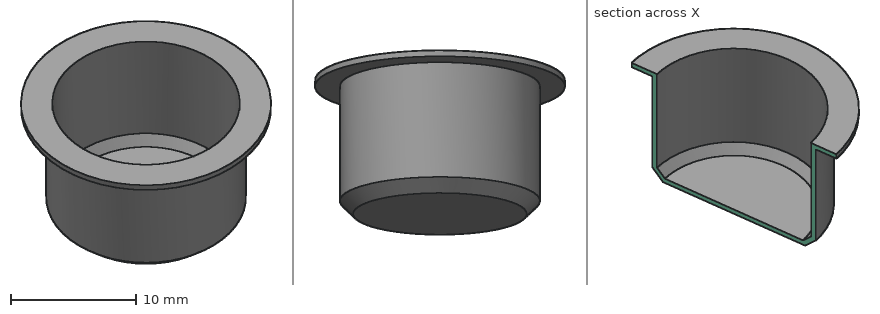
import cadquery as cq
import math

flange_diameter = 20.0
body_diameter = 16.0
height = 11.0
wall = 0.5
outer_bevel = 1.05

inner_bevel = outer_bevel - wall * (2 - math.sqrt(2))
bore_diameter = body_diameter - 2 * wall

body = cq.Workplane("XY").circle(body_diameter / 2).extrude(height)
body = body.faces("<Z").edges().chamfer(outer_bevel)

flange = (
    cq.Workplane("XY")
    .workplane(offset=height - wall)
    .circle(flange_diameter / 2)
    .extrude(wall)
)

cavity = (
    cq.Workplane("XY")
    .workplane(offset=wall)
    .circle(bore_diameter / 2)
    .extrude(height - wall)
)
cavity = cavity.faces("<Z").edges().chamfer(inner_bevel)

result = body.union(flange).cut(cavity)